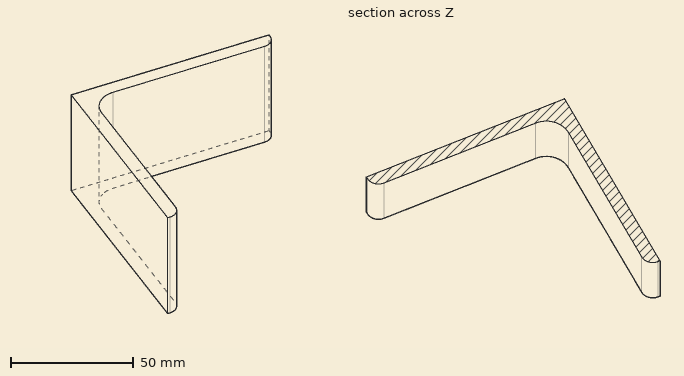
import cadquery as cq

leg_length = 90.0
length = 50.0
thickness = 6.0
root_radius = 10.0
toe_radius = 5.0

angle = (
    cq.Workplane("XY")
    .moveTo(0, 0)
    .lineTo(leg_length, 0)
    .lineTo(leg_length, thickness)
    .lineTo(thickness, thickness)
    .lineTo(thickness, leg_length)
    .lineTo(0, leg_length)
    .close()
    .extrude(length)
)


def round_inner_edge(body, x, y, radius):
    """Round the vertical edge that passes through (x, y)."""
    edge = cq.selectors.NearestToPointSelector((x, y, length / 2))
    return body.edges("|Z").edges(edge).fillet(radius)


angle = round_inner_edge(angle, thickness, thickness, root_radius)
angle = round_inner_edge(angle, leg_length, thickness, toe_radius)
angle = round_inner_edge(angle, thickness, leg_length, toe_radius)

result = angle